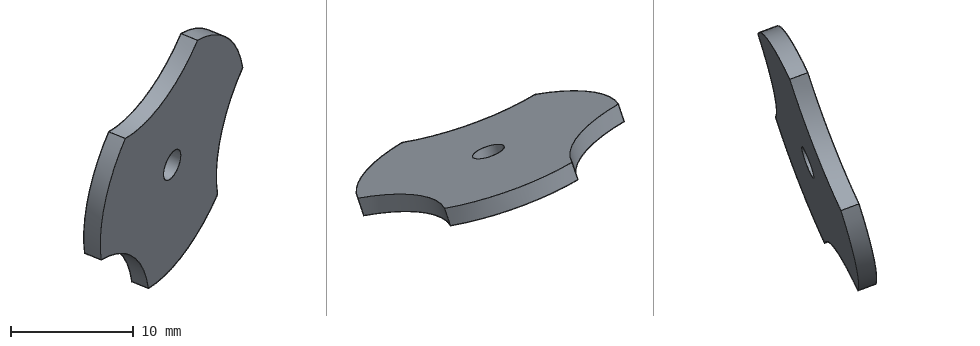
import cadquery as cq
import math

thickness = 1.59
disc_radius = 11.31
hole_diameter = 2.71

notch_count = 3
notch_radius = 11.31
notch_center_distance = 19.45
first_notch_angle = 100.0


def make_disc():
    """Round plate lying in the YZ plane, centred on the origin through its thickness."""
    return cq.Workplane("YZ").circle(disc_radius).extrude(thickness / 2, both=True)


def make_edge_notches():
    """Cylinders centred outside the disc, which scoop concave arcs from its rim."""
    centers = []
    for index in range(notch_count):
        angle = math.radians(first_notch_angle + index * 360.0 / notch_count)
        y = notch_center_distance * math.cos(angle)
        z = notch_center_distance * math.sin(angle)
        centers.append((y, z))
    notches = cq.Workplane("YZ").pushPoints(centers).circle(notch_radius)
    return notches.extrude(thickness, both=True)


def make_center_hole():
    """Cylinder for the through hole on the disc axis."""
    return cq.Workplane("YZ").circle(hole_diameter / 2).extrude(thickness, both=True)


result = make_disc().cut(make_edge_notches()).cut(make_center_hole())